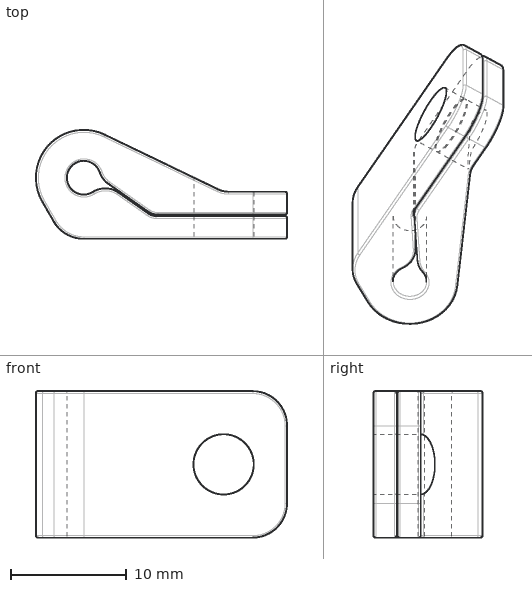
import cadquery as cq
import math

height = 12.7
bore_radius = 1.45
loop_radius = 4.15

tab_thickness = 2.0
slit_gap = 0.1
tab_end_x = 17.6
tab_corner_radius = 3.0
base_y = -5.3
slit_lower_y = base_y + tab_thickness
slit_upper_y = slit_lower_y + slit_gap
tab_top_y = slit_upper_y + tab_thickness

heel_radius = 3.0
heel_normal_angle = 210.0
shoulder_radius = 2.0
shoulder_end_x = 12.5

slant_angle = 35.0
slant_corner_x = 5.9
neck_radius = 2.0
lower_bend_radius = 1.0
upper_bend_radius = 1.5

screw_hole_diameter = 5.2
screw_hole_x = 12.1

edge_round = 0.2


def polar(center, radius, angle):
    """Point on a circle, with the angle in degrees."""
    turn = math.radians(angle)
    return (center[0] + radius * math.cos(turn), center[1] + radius * math.sin(turn))


def arc_to(path, center, radius, start_angle, end_angle):
    """Continue the path along a circle from one angle to another."""
    middle = polar(center, radius, (start_angle + end_angle) / 2)
    return path.threePointArc(middle, polar(center, radius, end_angle))


def line_angle(a, b):
    """Direction from one point to another, in degrees."""
    return math.degrees(math.atan2(b[1] - a[1], b[0] - a[0]))


def outer_outline():
    """Closed outline of the clip, with the bore and slit still filled."""
    origin = (0, 0)
    heel_center = (0, base_y + heel_radius)
    shoulder_center = (shoulder_end_x, tab_top_y + shoulder_radius)
    spacing = math.hypot(*shoulder_center)
    spread = math.degrees(math.acos((loop_radius + shoulder_radius) / spacing))
    slope_normal = line_angle(origin, shoulder_center) + spread

    path = cq.Workplane("XY").moveTo(tab_end_x, base_y).lineTo(tab_end_x, tab_top_y)
    path = path.lineTo(shoulder_end_x, tab_top_y)
    path = arc_to(path, shoulder_center, shoulder_radius, 270, slope_normal + 180)
    path = path.lineTo(*polar(origin, loop_radius, slope_normal))
    path = arc_to(path, origin, loop_radius, slope_normal, heel_normal_angle)
    path = path.lineTo(*polar(heel_center, heel_radius, heel_normal_angle))
    path = arc_to(path, heel_center, heel_radius, heel_normal_angle, 270)
    return path.close()


def slit_outline():
    """Closed outline of the bore joined to the slit by two rounded necks."""
    origin = (0, 0)
    slant_normal = 90 - slant_angle
    normal = polar(origin, 1, slant_normal)
    lower_offset = slant_corner_x * normal[0] + slit_lower_y * normal[1]
    upper_offset = lower_offset + slit_gap

    neck_distance = bore_radius + neck_radius
    lower_neck_angle = slant_normal - math.degrees(math.acos((lower_offset - neck_radius) / neck_distance))
    upper_neck_angle = slant_normal - math.degrees(math.acos((upper_offset + neck_radius) / neck_distance))
    lower_neck = polar(origin, neck_distance, lower_neck_angle)
    upper_neck = polar(origin, neck_distance, upper_neck_angle)

    def bend_center(offset, wall_y, radius):
        """Center of the arc that joins a slanted wall to a straight wall."""
        center_y = wall_y + radius
        return ((offset + radius - center_y * normal[1]) / normal[0], center_y)

    lower_bend = bend_center(lower_offset, slit_lower_y, lower_bend_radius)
    upper_bend = bend_center(upper_offset, slit_upper_y, upper_bend_radius)
    wall_angle = slant_normal + 180

    path = cq.Workplane("XY").moveTo(tab_end_x, slit_lower_y).lineTo(tab_end_x, slit_upper_y)
    path = path.lineTo(upper_bend[0], slit_upper_y)
    path = arc_to(path, upper_bend, upper_bend_radius, 270, wall_angle)
    path = path.lineTo(*polar(upper_neck, neck_radius, wall_angle))
    path = arc_to(path, upper_neck, neck_radius, wall_angle, upper_neck_angle + 180)
    path = arc_to(path, origin, bore_radius, upper_neck_angle, lower_neck_angle + 360)
    path = arc_to(path, lower_neck, neck_radius, lower_neck_angle + 180, slant_normal)
    path = path.lineTo(*polar(lower_bend, lower_bend_radius, wall_angle))
    path = arc_to(path, lower_bend, lower_bend_radius, wall_angle, 270)
    return path.close()


def clip_blank():
    """Loop and tabs with rounded tab corners and sharp edges."""
    half_height = height / 2
    blank = outer_outline().extrude(half_height, both=True)
    blank = blank.edges("|Y and >X").fillet(tab_corner_radius)
    return blank.cut(slit_outline().extrude(half_height, both=True))


def round_rims(body):
    """Round every rim of the two end faces; the rounding follows the tab corners and ends."""
    rims = body.faces("<Z or >Z").edges("not |Y")
    return rims.fillet(edge_round)


def screw_hole():
    """Cylinder reaching from the flat base through both tabs."""
    hole = cq.Workplane("XZ").center(screw_hole_x, 0).circle(screw_hole_diameter / 2)
    return hole.extrude(-base_y, both=True)


result = round_rims(clip_blank()).cut(screw_hole())